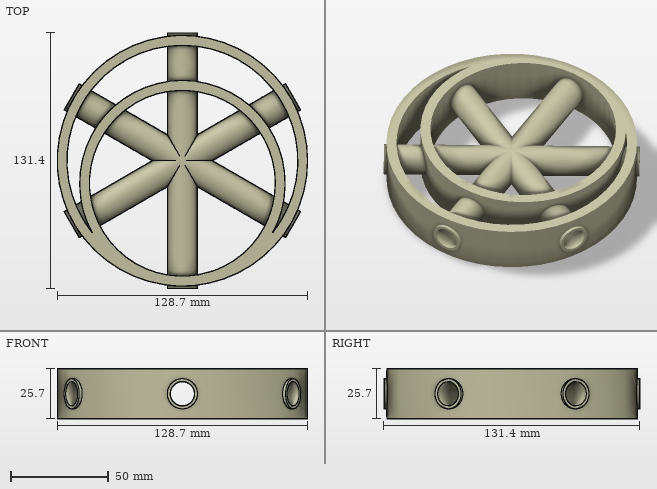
import cadquery as cq

ring_diameter = 128.7
spoke_span = 131.4
height = 25.7
wall = 5.1

inner_ring_diameter = 105.6
inner_ring_y = (inner_ring_diameter - ring_diameter) / 2

tube_diameter = 15.5
bore_diameter = 12.3
tube_angles = (30, 90, 150)


def ring(diameter, center_y):
    """Upright ring centred on Z = 0."""
    return (
        cq.Workplane("XY")
        .center(0, center_y)
        .circle(diameter / 2)
        .circle(diameter / 2 - wall)
        .extrude(height / 2, both=True)
    )


def crossing_rods(diameter):
    """Full-span horizontal rods joined at the centre."""
    rod = cq.Workplane("YZ").circle(diameter / 2).extrude(spoke_span / 2, both=True)
    rods = cq.Workplane("XY")
    for angle in tube_angles:
        rods = rods.add(rod.rotate((0, 0, 0), (0, 0, 1), angle))
    return rods.combine()


rings = ring(ring_diameter, 0).union(ring(inner_ring_diameter, inner_ring_y))

result = rings.union(crossing_rods(tube_diameter)).cut(crossing_rods(bore_diameter))